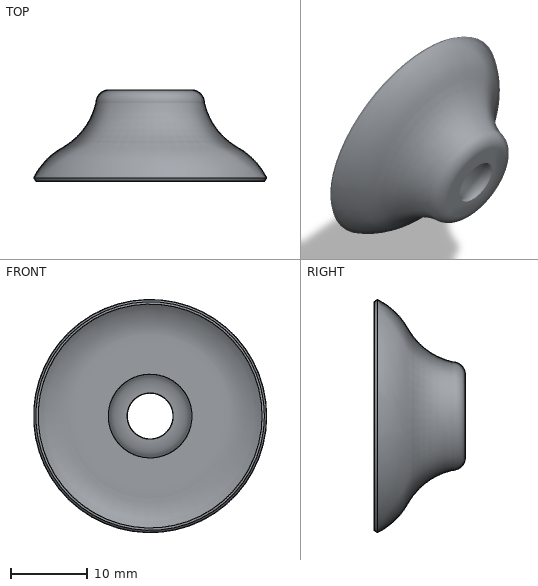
import cadquery as cq

height = 12.0

rim_radius = 15.32
lip_radius = 15.0
lip_height = 0.43
skirt_mid_radius = 13.57
skirt_mid_height = 2.85
waist_radius = 11.28
waist_height = 4.57
flare_mid_radius = 8.33
flare_mid_height = 7.4
neck_radius = 7.15
neck_rounding = 1.75
neck_height = height - neck_rounding

mouth_radius = 14.7
dish_floor_radius = 10.85
dish_depth = 2.0
counterbore_diameter = 11.0
counterbore_floor = 5.0
bore_diameter = 6.0


def cup_body():
    """Revolve the wall section, including the dished mouth but no bore."""
    section = (
        cq.Workplane("XY")
        .moveTo(0, dish_depth)
        .lineTo(dish_floor_radius, dish_depth)
        .tangentArcPoint((mouth_radius, 0), relative=False)
        .lineTo(lip_radius, 0)
        .lineTo(rim_radius, lip_height)
        .threePointArc((skirt_mid_radius, skirt_mid_height), (waist_radius, waist_height))
        .threePointArc((flare_mid_radius, flare_mid_height), (neck_radius, neck_height))
        .radiusArc((neck_radius - neck_rounding, height), -neck_rounding)
        .lineTo(0, height)
        .close()
    )
    return section.revolve(360, (0, 0, 0), (0, 1, 0))


def cylinder_from_mouth(diameter, length):
    """Cylinder on the cup axis, running from the mouth plane towards +Y."""
    return cq.Workplane("XZ").circle(diameter / 2).extrude(-length)


counterbore = cylinder_from_mouth(counterbore_diameter, counterbore_floor)
bore = cylinder_from_mouth(bore_diameter, height)

result = cup_body().cut(counterbore).cut(bore)